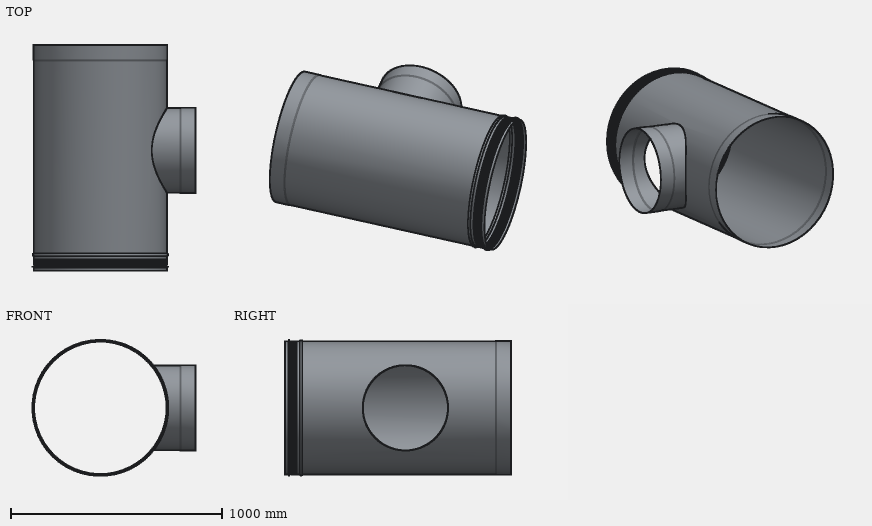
import cadquery as cq


sheet = 0.5
pipe_outer_radius = 631.6 / 2
branch_outer_radius = 402.6 / 2

spigot_end_y = -570.0
socket_end_y = 500.0
branch_end_x = 451.0

socket_length = 70.0
taper_length = 5.0
socket_step = 1.5
socket_reach = socket_length + taper_length

bead_middle = 76.5
bead_half_width = 6.0
bead_height = 5.0

groove_floor_radius = 627.0 / 2
groove_depth = pipe_outer_radius - groove_floor_radius
groove_wall_run = 3.0
front_groove = (15.5, 30.5)
rear_groove = (38.0, 55.0)

lip_seal_span = (18.5, 26.0)
lip_seal_foot_height = 1.0
lip_outer_radius = 644.6 / 2
lip_width = 1.0

flush_ring_span = (41.0, 49.0)


def pipe_body(radius):
    """Solid of revolution about Y, bounded by one side of the pipe's sheet."""
    outline = cq.Workplane("XY").moveTo(0, spigot_end_y).lineTo(radius, spigot_end_y)
    for near, far in (front_groove, rear_groove):
        floor = radius - groove_depth
        outline = outline.lineTo(radius, spigot_end_y + near)
        outline = outline.lineTo(floor, spigot_end_y + near + groove_wall_run)
        outline = outline.lineTo(floor, spigot_end_y + far - groove_wall_run)
        outline = outline.lineTo(radius, spigot_end_y + far)
    bead_y = spigot_end_y + bead_middle
    outline = outline.lineTo(radius, bead_y - bead_half_width)
    outline = outline.threePointArc((radius + bead_height, bead_y), (radius, bead_y + bead_half_width))
    outline = outline.lineTo(radius, socket_end_y - socket_reach)
    outline = outline.lineTo(radius + socket_step, socket_end_y - socket_length)
    outline = outline.lineTo(radius + socket_step, socket_end_y).lineTo(0, socket_end_y).close()
    return outline.revolve(360, (0, 0, 0), (0, 1, 0))


def branch_body(radius):
    """Solid of revolution about X, bounded by one side of the branch's sheet."""
    outline = cq.Workplane("XY").lineTo(0, radius).lineTo(branch_end_x - socket_reach, radius)
    outline = outline.lineTo(branch_end_x - socket_length, radius + socket_step)
    outline = outline.lineTo(branch_end_x, radius + socket_step).lineTo(branch_end_x, 0).close()
    return outline.revolve(360, (0, 0, 0), (1, 0, 0))


def make_pipe():
    branch_opening = branch_body(branch_outer_radius - sheet)
    return pipe_body(pipe_outer_radius).cut(pipe_body(pipe_outer_radius - sheet)).cut(branch_opening)


def make_branch():
    """Branch tube whose inner end is cut to the saddle of the pipe's outer surface."""
    tube = branch_body(branch_outer_radius).cut(branch_body(branch_outer_radius - sheet))
    return tube.cut(pipe_body(pipe_outer_radius))


def revolve_about_pipe(profile):
    return cq.Workplane("XY").polyline(profile).close().revolve(360, (0, 0, 0), (0, 1, 0))


def make_lip_seal():
    start, end = (spigot_end_y + edge for edge in lip_seal_span)
    foot_top = groove_floor_radius + lip_seal_foot_height
    return revolve_about_pipe([
        (groove_floor_radius, start),
        (lip_outer_radius, start),
        (lip_outer_radius, start + lip_width),
        (foot_top, start + lip_width),
        (foot_top, end),
        (groove_floor_radius, end),
    ])


def make_flush_ring():
    start, end = (spigot_end_y + edge for edge in flush_ring_span)
    return revolve_about_pipe([
        (groove_floor_radius, start),
        (pipe_outer_radius, start),
        (pipe_outer_radius, end),
        (groove_floor_radius, end),
    ])


pipe = make_pipe()
branch = make_branch()
lip_seal = make_lip_seal()
flush_ring = make_flush_ring()

result = cq.Compound.makeCompound([pipe.val(), branch.val(), lip_seal.val(), flush_ring.val()])